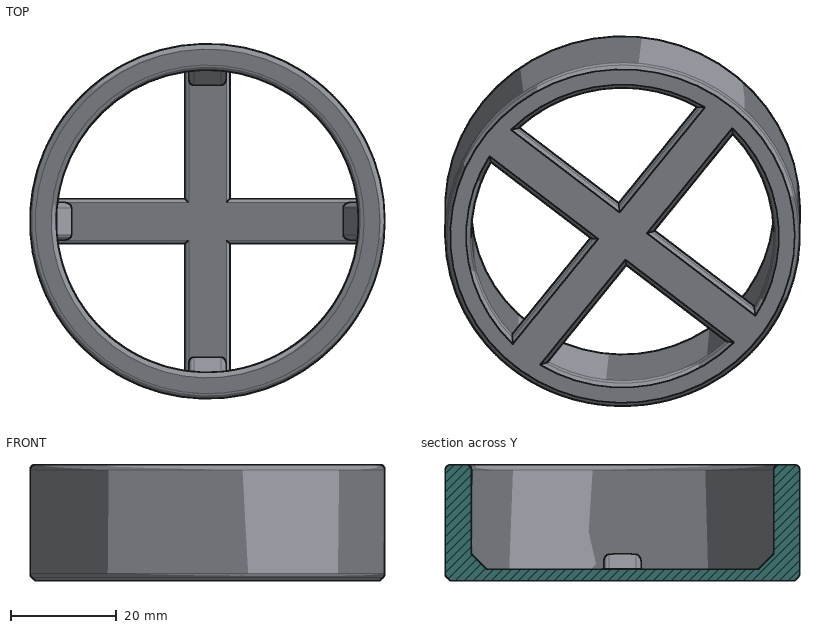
import cadquery as cq

OUTER_DIAMETER = 67
INNER_DIAMETER = 57.0
HEIGHT = 22.0
TOP_FILLET = 1.0
BOTTOM_CHAMFER = 1.0
CHAMFER_BLEND = 1.0

ARM_WIDTH = 8.6
ARM_THICKNESS = 2.3
ARM_FILLET = 0.75

GUSSET_WIDTH = ARM_WIDTH - 2 * ARM_FILLET
GUSSET_RUN = 2.9
GUSSET_FILLET = 1.0

outer_radius = OUTER_DIAMETER / 2
inner_radius = INNER_DIAMETER / 2
embed_radius = (outer_radius + inner_radius) / 2


def break_bottom_edges(body, bottom_edges):
    """Chamfer the given bottom edges, then blend each chamfer into the wall above it."""
    chamfered = body.newObject(bottom_edges.vals()).chamfer(BOTTOM_CHAMFER)
    margin = 0.01
    chamfer_top = cq.selectors.BoxSelector(
        (-OUTER_DIAMETER, -OUTER_DIAMETER, BOTTOM_CHAMFER - margin),
        (OUTER_DIAMETER, OUTER_DIAMETER, BOTTOM_CHAMFER + margin),
        boundingbox=True,
    )
    upper_edges = chamfered.edges(chamfer_top).edges("%CIRCLE or |X")
    return upper_edges.fillet(CHAMFER_BLEND)


def make_ring():
    ring = cq.Workplane("XY").circle(outer_radius).circle(inner_radius).extrude(HEIGHT)
    ring = ring.faces(">Z").edges().fillet(TOP_FILLET)
    return break_bottom_edges(ring, ring.faces("<Z").edges())


def make_cross():
    """Two crossing bars, each with rounded top and broken bottom long edges."""
    length = 2 * embed_radius
    bar = cq.Workplane("XY").box(length, ARM_WIDTH, ARM_THICKNESS, centered=(True, True, False))
    bar = bar.faces(">Z").edges("|X").fillet(ARM_FILLET)
    bar = break_bottom_edges(bar, bar.faces("<Z").edges("|X"))
    return bar.union(bar.rotate((0, 0, 0), (0, 0, 1), 90))


def make_gusset():
    """45-degree wedge on the +X arm, with its sloped side edges rounded."""
    toe = inner_radius - GUSSET_RUN
    rise = embed_radius - toe
    wedge = (
        cq.Workplane("XZ")
        .moveTo(toe, ARM_THICKNESS)
        .lineTo(embed_radius, ARM_THICKNESS)
        .lineTo(embed_radius, ARM_THICKNESS + rise)
        .close()
        .extrude(GUSSET_WIDTH / 2, both=True)
    )
    return wedge.edges(cq.selectors.ParallelDirSelector(cq.Vector(1, 0, 1))).fillet(GUSSET_FILLET)


result = make_ring().union(make_cross())
gusset = make_gusset()
for quarter in range(4):
    result = result.union(gusset.rotate((0, 0, 0), (0, 0, 1), 90 * quarter))